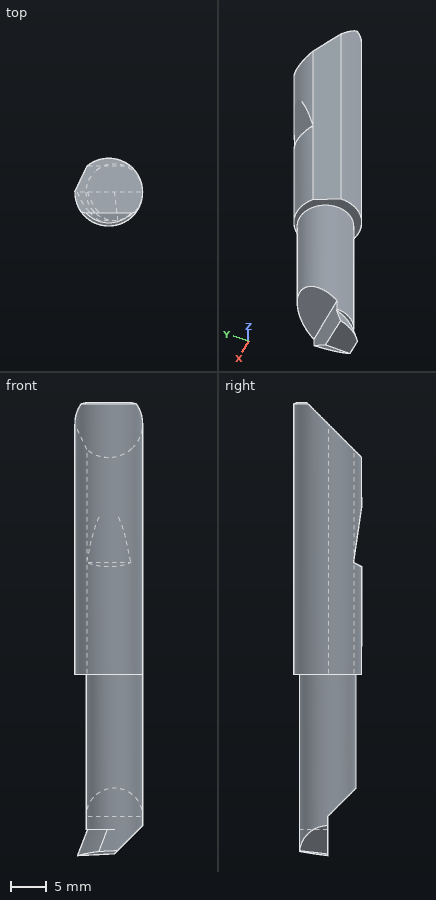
import cadquery as cq
import math

shank_diameter = 9.525
shank_length = 38.1
shank_radius = shank_diameter / 2

flat_normal_angle = 154.4
flat_distance = 4.337

rim_chamfer_width = 0.45
rim_chamfer_height = 0.2

slope_top_y = -2.95

notch_bottom_z = 15.1
notch_floor_y = 3.63
notch_floor_z = 15.7
notch_top_z = 23.4

neck_diameter = 7.9375
neck_radius = neck_diameter / 2
neck_center_x = shank_radius - neck_radius
neck_left_x = neck_center_x - neck_radius
cutting_length = 25.39

rake_runout_z = -15.9

tooth_top_z = -21.7
tooth_tip_x = -4.4
tooth_root_inset = 0.2
tooth_root_x = neck_left_x + tooth_root_inset
tooth_facet_left_x = -0.2
tooth_flank_radius = neck_diameter

end_clearance_y = 6.5
end_clearance_x = 2.8


def bar(radius, center_x, bottom_z, top_z):
    """Round bar along Z."""
    base = cq.Workplane("XY", origin=(center_x, 0, bottom_z))
    return base.circle(radius).extrude(top_z - bottom_z)


def prism_along_x(points):
    """Prism through the whole part along X from a (Y, Z) outline."""
    return cq.Workplane("YZ").polyline(points).close().extrude(shank_diameter, both=True)


def prism_along_y(points):
    """Prism through the whole part along Y from an (X, Z) outline."""
    return cq.Workplane("XZ").polyline(points).close().extrude(shank_diameter, both=True)


def flat_cutter():
    """Block lying outside the clamping flat."""
    block = cq.Workplane("XY").box(
        shank_radius, shank_diameter, shank_length, centered=(False, True, False)
    )
    block = block.translate((flat_distance, 0, 0))
    return block.rotate((0, 0, 0), (0, 0, 1), flat_normal_angle)


def top_slope_cutter():
    """Triangular prism above the 45 degree slope on top of the shank."""
    run = shank_diameter
    return prism_along_x([
        (slope_top_y, shank_length),
        (slope_top_y + run, shank_length),
        (slope_top_y + run, shank_length - run),
    ])


def notch_cutter():
    """Wedge with its long face tapering up to the back of the shank."""
    return prism_along_x([
        (shank_radius, notch_bottom_z),
        (notch_floor_y, notch_floor_z),
        (shank_radius, notch_top_z),
    ])


def make_shank():
    """Shank with rim chamfer, flat, sloped top and notch."""
    shank = bar(shank_radius, 0, 0, shank_length)
    shank = shank.faces(">Z").edges().chamfer(rim_chamfer_height, rim_chamfer_width)
    return shank.cut(flat_cutter()).cut(top_slope_cutter()).cut(notch_cutter())


def tooth_section(z):
    """Closed XY wire of the leaning tooth at height z."""
    lean = (tooth_root_x - tooth_tip_x) / (tooth_top_z + cutting_length)
    shift = lean * (z - tooth_top_z)
    left = (tooth_root_x + shift, 0)
    front = (tooth_facet_left_x + shift, -neck_radius)
    chord_x = front[0] - left[0]
    chord_y = front[1] - left[1]
    chord = math.hypot(chord_x, chord_y)
    bulge = tooth_flank_radius - math.sqrt(tooth_flank_radius**2 - (chord / 2) ** 2)
    flank_middle = (
        (left[0] + front[0]) / 2 + bulge * chord_y / chord,
        (left[1] + front[1]) / 2 - bulge * chord_x / chord,
    )
    outline = cq.Workplane("XY", origin=(0, 0, z)).moveTo(*left)
    outline = outline.threePointArc(flank_middle, front)
    outline = outline.lineTo(neck_center_x, -neck_radius).lineTo(neck_center_x, 0).close()
    return outline.val()


def make_tooth():
    """Tooth lofted from the neck down to the tip level."""
    sections = [tooth_section(tooth_top_z), tooth_section(-cutting_length)]
    return cq.Workplane(cq.Solid.makeLoft(sections, True))


def rake_cutter():
    """Region above the rake face with its 45 degree run-out."""
    return prism_along_x([
        (0, rake_runout_z - neck_radius),
        (neck_radius, rake_runout_z),
        (neck_radius, -cutting_length),
        (0, -cutting_length),
    ])


def tooth_space_cutter():
    """Block clearing the neck on the tooth side below the top of the tooth."""
    return prism_along_y([
        (neck_left_x, tooth_top_z),
        (neck_center_x, tooth_top_z),
        (neck_center_x, -cutting_length),
        (neck_left_x, -cutting_length),
    ])


def corner_cutter():
    """45 degree corner cut on the +X side, starting below the neck axis."""
    tip_to_corner = neck_center_x - tooth_tip_x
    end_rise = tip_to_corner * math.tan(math.radians(end_clearance_x))
    corner_z = -cutting_length + end_rise
    run = shank_diameter
    return prism_along_y([
        (neck_center_x, corner_z),
        (neck_center_x + run, corner_z + run),
        (neck_center_x + run, corner_z - run),
        (neck_center_x, corner_z - run),
    ])


def end_clearance_cutter():
    """Block below the end face, tilted about the tooth tip."""
    size = 3 * shank_diameter
    block = cq.Workplane("XY").box(size, size, shank_diameter)
    block = block.translate((0, 0, -shank_diameter / 2))
    block = block.rotate((0, 0, 0), (1, 0, 0), -end_clearance_y)
    block = block.rotate((0, 0, 0), (0, 1, 0), -end_clearance_x)
    return block.translate((tooth_tip_x, 0, -cutting_length))


def make_cutting_end():
    """Neck with its half-round cutting end and tooth."""
    neck = bar(neck_radius, neck_center_x, -cutting_length, 0)
    neck = neck.cut(rake_cutter()).cut(tooth_space_cutter()).union(make_tooth())
    return neck.cut(corner_cutter()).cut(end_clearance_cutter())


result = make_shank().union(make_cutting_end())